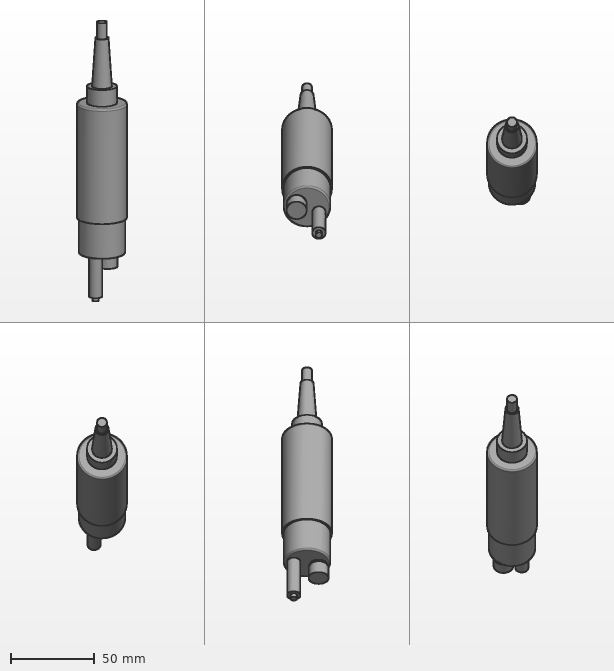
import cadquery as cq

total_length = 171.0
edge_radius = 1.0

cable_diameter = 6.0
cable_length = 10.0
sleeve_top_diameter = 8.0
sleeve_base_diameter = 12.0
sleeve_length = 30.0
collar_diameter = 18.0
collar_length = 10.3

body_diameter = 30.0
nose_diameter = 28.0
nose_length = 22.0

plunger_diameter = 8.0
plunger_length = 25.0
plunger_offset = -8.0
tip_diameter = 4.0
tip_length = 2.5

stub_diameter = 12.0
stub_length = 8.0
stub_offset = 7.0
neck_diameter = 10.0
neck_length = 2.0

nose_bottom = tip_length + plunger_length
body_bottom = nose_bottom + nose_length
sleeve_top = total_length - cable_length
collar_top = sleeve_top - sleeve_length
body_top = collar_top - collar_length


def cylinder(diameter, bottom, top, y=0):
    """Upright cylinder between two heights, centred at X = 0 and the given Y."""
    return cq.Workplane("XY", origin=(0, y, bottom)).circle(diameter / 2).extrude(top - bottom)


body = cylinder(body_diameter, body_bottom, body_top).faces(">Z").fillet(edge_radius)
nose = cylinder(nose_diameter, nose_bottom, body_bottom).faces("<Z").fillet(edge_radius)

collar = cylinder(collar_diameter, body_top, collar_top)
sleeve = (
    cq.Workplane("XY", origin=(0, 0, collar_top))
    .circle(sleeve_base_diameter / 2)
    .workplane(offset=sleeve_length)
    .circle(sleeve_top_diameter / 2)
    .loft(ruled=True)
)
cable = cylinder(cable_diameter, sleeve_top, total_length)

plunger = cylinder(plunger_diameter, tip_length, nose_bottom, plunger_offset)
tip = cylinder(tip_diameter, 0, tip_length, plunger_offset)

neck_bottom = nose_bottom - neck_length
neck = cylinder(neck_diameter, neck_bottom, nose_bottom, stub_offset)
stub = cylinder(stub_diameter, neck_bottom - stub_length, neck_bottom, stub_offset)

result = body
for section in (nose, collar, sleeve, cable, plunger, tip, neck, stub):
    result = result.union(section)